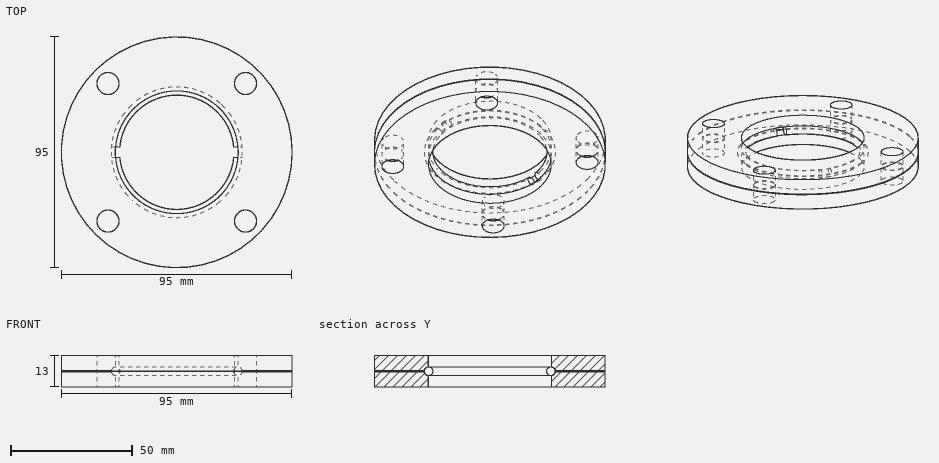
import cadquery as cq

outer_diameter = 95.0
total_height = 13.0
bore_diameter = 50.5
flange_gap = 0.3
flange_thickness = (total_height - flange_gap) / 2

bolt_circle_diameter = 80.0
bolt_hole_diameter = 9.0
bolt_hole_count = 4
first_bolt_angle = 45.0

wire_diameter = 3.5
ring_inner_diameter = 46.9
ring_center_radius = (ring_inner_diameter + wire_diameter) / 2
ring_split_width = 4.2


def make_flange(bottom):
    """Flat annular flange with its bolt holes."""
    return (
        cq.Workplane("XY", origin=(0, 0, bottom))
        .circle(outer_diameter / 2)
        .circle(bore_diameter / 2)
        .polarArray(bolt_circle_diameter / 2, first_bolt_angle, 360, bolt_hole_count)
        .circle(bolt_hole_diameter / 2)
        .extrude(flange_thickness)
    )


def make_wire_torus():
    """Full round-section ring centred on the middle of the gap."""
    return (
        cq.Workplane("XZ")
        .center(ring_center_radius, total_height / 2)
        .circle(wire_diameter / 2)
        .revolve(360, (-ring_center_radius, 0), (-ring_center_radius, 1))
    )


def make_ring_splits():
    """Bar along X that cuts the ring open on both sides, with parallel ends."""
    return cq.Workplane("XY").box(
        outer_diameter, ring_split_width, total_height, centered=(True, True, False)
    )


wire_torus = make_wire_torus()
split_ring = wire_torus.cut(make_ring_splits())

lower_flange = make_flange(0).cut(wire_torus)
upper_flange = make_flange(flange_thickness + flange_gap).cut(wire_torus)

result = lower_flange.union(split_ring).union(upper_flange)